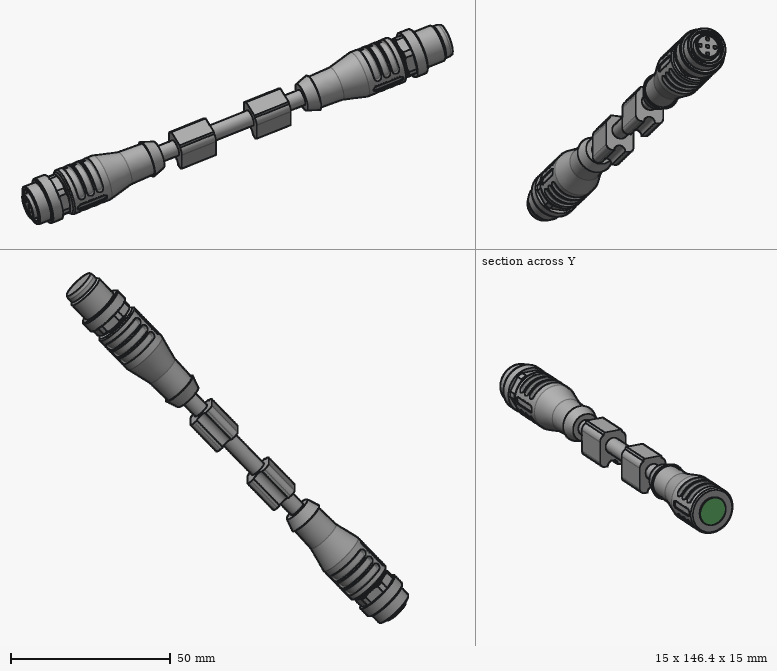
import cadquery as cq
import math

total_length = 146.4
tip_y = total_length / 2
male_plug_length = 17.2
female_plug_length = 12.4
cable_diameter = 5.2

body_diameter = 15.0
body_chamfer = 0.5
body_length = 13.3
taper_end = 21.3
neck_end = 29.3
handle_length = 33.3
taper_end_diameter = 11.0
neck_end_diameter = 10.5
cuff_diameter = 11.7
cuff_end_diameter = 9.0

groove_count = 3
groove_width = 2.45
groove_pitch = 3.15
first_groove = 3.42
groove_depth = 0.7
groove_floor_fillet = 0.3
groove_end_height = 2.95
side_slot_length = 10.5
side_slot_width = 2.3
side_slot_start = 1.3
side_slot_depth = 0.5

gap_length = 0.7
gap_diameter = 9.3
hex_sides = 6
hex_length = 3.0
hex_across_flats = 12.7
hex_corner_diameter = 13.7
hex_chamfer = 0.35
flange_length = 3.75
flange_diameter = 15.0
flange_chamfer = 0.35
nut_length = gap_length + hex_length + flange_length

barrel_diameter = 12.0
barrel_start = 3.2
nose_diameter = 10.8
nose_length = 2.5
nose_tip_diameter = 10.2
nose_chamfer_length = 1.0

shell_diameter = 12.8
shell_setback = 1.0
shell_front_diameter = 12.3
shell_bore = 10.5
shell_mouth_diameter = 10.95
shell_bore_depth = 1.5
insert_diameter = 8.3
face_recess_diameter = 7.2
face_recess_depth = 0.4
seal_squeeze = 0.1
seal_section = (shell_bore - insert_diameter) / 2 + seal_squeeze
seal_diameter = (shell_bore + insert_diameter) / 2
contact_diameter = 1.15
contact_depth = 3.0
contact_circle_radius = 2.5
outer_contact_count = 4

clip_length = 12.0
clip_gap = 6.0
clip_half_width = 4.6
clip_bottom = -6.7
foot_radius = 1.75
clip_notch_radius = 1.8
label_top = 4.9
label_half_width = 2.9
label_edge_radius = 0.8
crease_x = 3.25
crease_z = 4.1
rail_foot_z = 2.0

tolerance = 0.01
overlap = 1.0


def turned(points):
    """Solid of revolution about Y from (radius, y) points; the axis closes the outline."""
    outline = [(0, points[0][1])] + points + [(0, points[-1][1])]
    return cq.Workplane("XY").polyline(outline).close().revolve(360, (0, 0, 0), (0, 1, 0))


def rod(diameter, start, length):
    """Round bar along +Y."""
    return cq.Workplane("XZ", origin=(0, start, 0)).circle(diameter / 2).extrude(-length)


def distance_from_axis(edge):
    """Distance from the Y axis to the start of an edge or its end, whichever is farther."""
    return max(math.hypot(point.x, point.z) for point in (edge.startPoint(), edge.endPoint()))


def grip_groove(middle, side):
    """Band groove around the top (side = 1) or bottom (side = -1), with rounded ends."""
    end_center = groove_end_height + groove_width / 2
    reach = body_diameter
    cutter = (
        cq.Workplane("YZ", origin=(-reach, 0, 0))
        .center(middle, side * end_center)
        .circle(groove_width / 2)
        .extrude(2 * reach)
    )
    band = cq.Workplane("XY").box(2 * reach, groove_width, reach, centered=(True, True, False))
    if side < 0:
        band = band.mirror("XY")
    cutter = cutter.union(band.translate((0, middle, side * end_center)))
    floor_radius = body_diameter / 2 - groove_depth
    core = rod(2 * floor_radius, middle - groove_width, 2 * groove_width)
    cutter = cutter.cut(core)
    outer_limit = rod(body_diameter + 2 * overlap, middle - groove_width, 2 * groove_width)
    cutter = cutter.intersect(outer_limit)
    floor_edges = cutter.edges().filter(lambda edge: distance_from_axis(edge) < floor_radius + tolerance)
    return floor_edges.fillet(groove_floor_fillet)


def side_slot(side):
    """Shallow flat-bottomed slot with round ends along the -X or +X flank."""
    floor = body_diameter / 2 - side_slot_depth
    return (
        cq.Workplane("YZ", origin=(side * floor, 0, 0))
        .center(side_slot_start + side_slot_length / 2, 0)
        .slot2D(side_slot_length, side_slot_width)
        .extrude(side * body_diameter)
    )


def handle():
    """Moulded grip body with its front at y = 0, running to +Y."""
    radius = body_diameter / 2
    body = turned([
        (radius - body_chamfer, 0),
        (radius, body_chamfer),
        (radius, body_length),
        (taper_end_diameter / 2, taper_end),
        (neck_end_diameter / 2, neck_end),
        (cuff_diameter / 2, neck_end),
        (cuff_end_diameter / 2, handle_length),
    ])
    for side in (-1, 1):
        for index in range(groove_count):
            body = body.cut(grip_groove(first_groove + index * groove_pitch, side))
        body = body.cut(side_slot(side))
    return body


def nut():
    """Coupling nut in front of the handle: gap neck, hexagon with round corners, flange."""
    hex_back = -gap_length
    hex_front = hex_back - hex_length
    neck = rod(gap_diameter, hex_front, hex_length + gap_length + overlap)
    corner_radius = hex_corner_diameter / 2
    blank = turned([
        (corner_radius, hex_front),
        (corner_radius, hex_back - hex_chamfer),
        (corner_radius - hex_chamfer, hex_back),
    ])
    hexagon = (
        cq.Workplane("XZ", origin=(0, hex_front, 0))
        .polygon(hex_sides, hex_across_flats / math.cos(math.pi / hex_sides))
        .extrude(-hex_length)
    )
    radius = flange_diameter / 2
    flange = turned([
        (radius - flange_chamfer, -nut_length),
        (radius, -nut_length + flange_chamfer),
        (radius, hex_front),
    ])
    return neck.union(blank.intersect(hexagon)).union(flange)


def male_plug():
    """Stepped male nose, tip at y = -male_plug_length."""
    tip = -male_plug_length
    return turned([
        (nose_tip_diameter / 2, tip),
        (nose_diameter / 2, tip + nose_chamfer_length),
        (nose_diameter / 2, tip + nose_length),
        (barrel_diameter / 2, tip + barrel_start),
        (barrel_diameter / 2, -nut_length + overlap),
    ])


def female_plug():
    """Socket shell around a contact insert, insert tip at y = -female_plug_length."""
    tip = -female_plug_length
    shell_front = tip + shell_setback
    outer_chamfer = (shell_diameter - shell_front_diameter) / 2
    mouth_chamfer = (shell_mouth_diameter - shell_bore) / 2
    bore_floor = shell_front + shell_bore_depth
    shell = turned([
        (shell_front_diameter / 2, shell_front),
        (shell_diameter / 2, shell_front + outer_chamfer),
        (shell_diameter / 2, -nut_length + overlap),
    ])
    bore = turned([
        (shell_mouth_diameter / 2, shell_front),
        (shell_bore / 2, shell_front + mouth_chamfer),
        (shell_bore / 2, bore_floor),
    ])
    seal = (
        cq.Workplane("XY")
        .center(seal_diameter / 2, bore_floor)
        .circle(seal_section / 2)
        .revolve(360, (-seal_diameter / 2, 0, 0), (-seal_diameter / 2, 1, 0))
    )
    insert = rod(insert_diameter, tip, bore_floor + overlap - tip)
    insert = insert.cut(rod(face_recess_diameter, tip, face_recess_depth))
    plug = shell.cut(bore).union(seal).union(insert)
    contacts = (
        cq.Workplane("XZ", origin=(0, tip, 0))
        .polarArray(contact_circle_radius, 0, 360, outer_contact_count)
        .circle(contact_diameter / 2)
        .extrude(-contact_depth)
    )
    return plug.cut(contacts).cut(rod(contact_diameter, tip, contact_depth))


def label_clip(start):
    """Cable clip with rounded feet, a notch between them and a raised label face on top."""
    bend = foot_radius * math.sqrt(0.5)
    foot_x = clip_half_width - foot_radius
    foot_z = clip_bottom + foot_radius
    crease = (crease_x, crease_z)
    rail_width = clip_half_width - crease_x
    rail_height = crease_z - rail_foot_z
    rail_radius = (rail_width**2 + rail_height**2) / (2 * rail_width)
    half = (
        cq.Workplane("XZ", origin=(0, start, 0))
        .moveTo(0, label_top)
        .lineTo(label_half_width, label_top)
        .radiusArc(crease, label_edge_radius)
        .radiusArc((clip_half_width, rail_foot_z), rail_radius)
        .lineTo(clip_half_width, foot_z)
        .threePointArc((foot_x + bend, foot_z - bend), (foot_x, clip_bottom))
        .lineTo(clip_notch_radius, clip_bottom)
        .radiusArc((0, clip_bottom + clip_notch_radius), -clip_notch_radius)
        .close()
        .extrude(-clip_length)
    )
    return half.union(half.mirror("YZ"))


female_front = -tip_y + female_plug_length
male_front = tip_y - male_plug_length
cable_start = female_front + handle_length
cable_end = male_front - handle_length

female_end = handle().union(nut()).union(female_plug()).translate((0, female_front, 0))
male_end = handle().union(nut()).union(male_plug()).mirror("XZ").translate((0, male_front, 0))

result = rod(cable_diameter, cable_start - overlap, cable_end - cable_start + 2 * overlap)
result = result.union(label_clip(cable_start + clip_gap))
result = result.union(label_clip(cable_end - clip_gap - clip_length))
result = result.union(female_end).union(male_end)